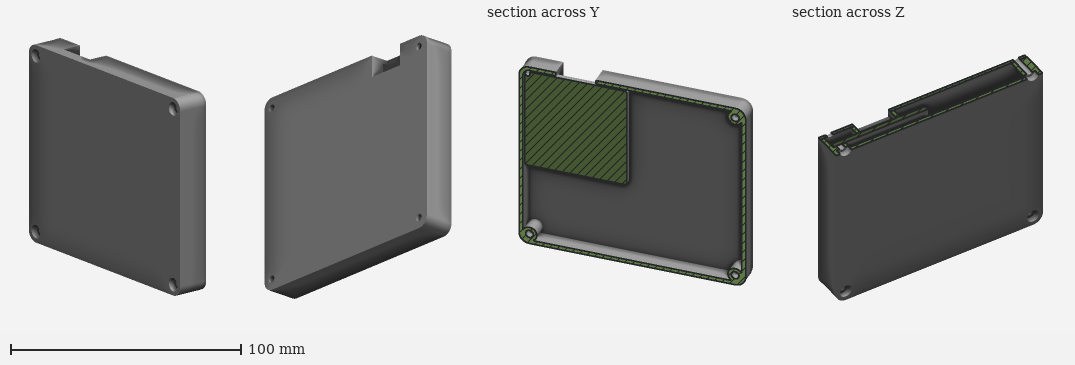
import cadquery as cq

WIDTH = 105.6
HEIGHT = 90.1
DEPTH = 14.6
CORNER_RADIUS = 5.0
WALL = 2.0

LID_THICKNESS = 1.8
LID_COVER = 1.5
LID_OFFSET = 0.2
HOUSING_DEPTH = DEPTH - LID_COVER
LID_INNER_Y = DEPTH - LID_THICKNESS

SCREW_HOLE_DIAMETER = 3.4
SCREW_HEAD_DIAMETER = 6.0
SCREW_HEAD_DEPTH = 3.0
BOSS_DIAMETER = 7.0
SCREW_X = WIDTH / 2 - CORNER_RADIUS
SCREW_Z = HEIGHT / 2 - CORNER_RADIUS
SCREW_POINTS = [(x, z) for x in (-SCREW_X, SCREW_X) for z in (-SCREW_Z, SCREW_Z)]

NOTCH_WIDTH = 18.3
NOTCH_CENTER_X = -26.3
NOTCH_FRONT_Y = 5.6
NOTCH_HEIGHT = 10.0
NOTCH_BOTTOM_Z = HEIGHT / 2 - NOTCH_HEIGHT

BOARD_FRONT_Y = NOTCH_FRONT_Y
BOARD_THICKNESS = 2.4
BOARD_BACK_Y = BOARD_FRONT_Y + BOARD_THICKNESS
BOARD_GAP = 0.5
BOARD_CORNER_RADIUS = 1.3
BOARD_HOLE_DIAMETER = 2.0
BOARD_HOLE_X = -48.7
BOARD_HOLE_Z = 41.4
BOARD_LEFT = -WIDTH / 2 + WALL + BOARD_GAP
BOARD_TOP = HEIGHT / 2 - WALL - BOARD_GAP
BOARD_SIDE = 2 * (NOTCH_CENTER_X - BOARD_LEFT)


def plane_at(y):
    """XZ sketch plane at the given Y whose extrusions run toward +Y."""
    return cq.Workplane(cq.Plane(origin=(0, y, 0), xDir=(1, 0, 0), normal=(0, -1, 0)))


def rounded_plate(width, height, radius, y_start, y_end):
    """Flat plate with four rounded corners between two Y positions."""
    plate = plane_at(y_start).rect(width, height).extrude(y_start - y_end)
    return plate.edges("|Y").fillet(radius)


def cylinders(points, diameter, y_start, y_end):
    """Round bars along Y at the given (x, z) points."""
    return plane_at(y_start).pushPoints(points).circle(diameter / 2).extrude(y_start - y_end)


def notch_block(width, y_start, y_end):
    """Block as tall as the notch and centred on it."""
    center_z = NOTCH_BOTTOM_Z + NOTCH_HEIGHT / 2
    sketch = plane_at(y_start).center(NOTCH_CENTER_X, center_z).rect(width, NOTCH_HEIGHT)
    return sketch.extrude(y_start - y_end)


def make_notch():
    """Cutter for the connector notch, from the sill through the back and open at the top."""
    return notch_block(NOTCH_WIDTH, NOTCH_FRONT_Y, DEPTH)


def make_board():
    """Square board with rounded corners and one mounting hole at its upper left."""
    center_z = BOARD_TOP - BOARD_SIDE / 2
    sketch = plane_at(BOARD_FRONT_Y).center(NOTCH_CENTER_X, center_z).rect(BOARD_SIDE, BOARD_SIDE)
    board = sketch.extrude(-BOARD_THICKNESS).edges("|Y").fillet(BOARD_CORNER_RADIUS)
    hole = cylinders([(BOARD_HOLE_X, BOARD_HOLE_Z)], BOARD_HOLE_DIAMETER, BOARD_FRONT_Y, BOARD_BACK_Y)
    return board.cut(hole)


def make_housing():
    """Open-backed tray with screw bosses, counterbored holes, the notch and its cheeks."""
    tray = rounded_plate(WIDTH, HEIGHT, CORNER_RADIUS, 0, HOUSING_DEPTH)
    cavity = rounded_plate(
        WIDTH - 2 * WALL, HEIGHT - 2 * WALL, CORNER_RADIUS - WALL, WALL, HOUSING_DEPTH
    )
    tray = tray.cut(cavity)
    tray = tray.union(cylinders(SCREW_POINTS, BOSS_DIAMETER, WALL, HOUSING_DEPTH))
    tray = tray.cut(cylinders(SCREW_POINTS, SCREW_HOLE_DIAMETER, 0, HOUSING_DEPTH))
    tray = tray.cut(cylinders(SCREW_POINTS, SCREW_HEAD_DIAMETER, 0, SCREW_HEAD_DEPTH))
    upper_boss = cylinders([(-SCREW_X, SCREW_Z)], BOSS_DIAMETER, BOARD_FRONT_Y, HOUSING_DEPTH)
    tray = tray.cut(upper_boss.intersect(cavity))
    tray = tray.union(notch_block(NOTCH_WIDTH + 2 * WALL, BOARD_BACK_Y, HOUSING_DEPTH))
    return tray.cut(make_notch())


def make_lid(housing):
    """Back plate shifted toward -X; its inside is recessed to seat over the housing rim."""
    plate = rounded_plate(WIDTH, HEIGHT, CORNER_RADIUS, LID_INNER_Y, DEPTH)
    plate = plate.translate((-LID_OFFSET, 0, 0))
    plate = plate.cut(housing)
    plate = plate.cut(cylinders(SCREW_POINTS, SCREW_HOLE_DIAMETER, LID_INNER_Y, DEPTH))
    return plate.cut(make_notch())


board = make_board()
housing = make_housing()
lid = make_lid(housing)
result = cq.Compound.makeCompound([housing.val(), lid.val(), board.val()])